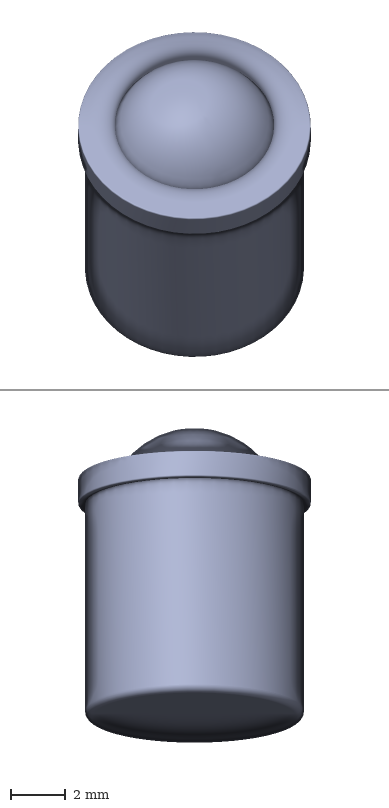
import cadquery as cq

total_height = 10.8
body_diameter = 8.0
body_edge_radius = 0.25

flange_diameter = 8.5
flange_thickness = 0.97
flange_edge_radius = 0.05

ball_diameter = 6.5
ball_protrusion = 1.8

flange_top = total_height - ball_protrusion
flange_bottom = flange_top - flange_thickness
ball_center_height = total_height - ball_diameter / 2


def make_body():
    """Cylinder standing on Z = 0 with a rounded bottom edge."""
    body = cq.Workplane("XY").circle(body_diameter / 2).extrude(flange_top)
    return body.faces("<Z").edges().fillet(body_edge_radius)


def make_flange():
    """Collar with both outer edges lightly rounded."""
    flange = (
        cq.Workplane("XY")
        .workplane(offset=flange_bottom)
        .circle(flange_diameter / 2)
        .extrude(flange_thickness)
    )
    return flange.edges("%CIRCLE").fillet(flange_edge_radius)


def make_ball():
    """Full ball, mostly buried in the body."""
    return cq.Workplane("XY").sphere(ball_diameter / 2).translate((0, 0, ball_center_height))


result = make_body().union(make_flange()).union(make_ball())